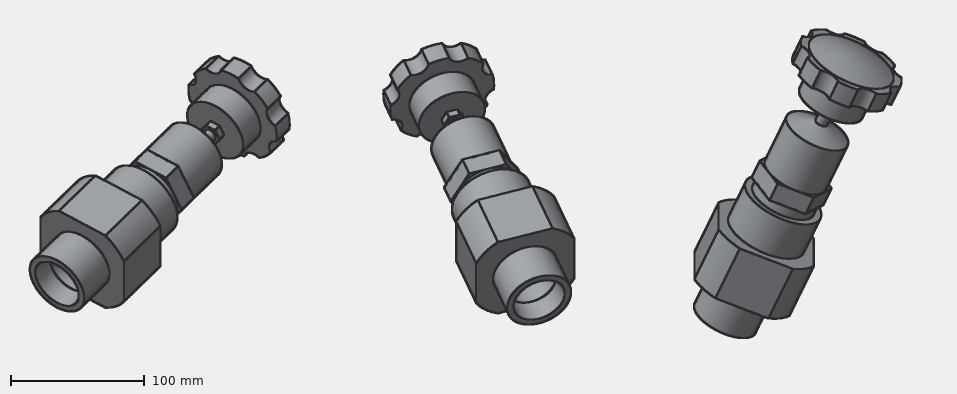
import cadquery as cq
import math

TOTAL_LENGTH = 244.2

PIPE_RADIUS = 25.5
PIPE_LENGTH = 31.7
BLOCK_WIDTH = 77.7
BLOCK_CORNER_RADIUS = 44.5
BLOCK_LENGTH = 46.0
COLLAR_RADIUS = 31.3
COLLAR_LENGTH = 31.7
SOCKET_MOUTH_RADIUS = 20.3
SOCKET_END_RADIUS = 19.3
SOCKET_DEPTH = 17.3
BORE_RADIUS = 19.0
BORE_DEPTH = PIPE_LENGTH + BLOCK_LENGTH
DRILL_TIP_ANGLE = 118.0

BONNET_RADIUS = PIPE_RADIUS
BONNET_LENGTH = 64.0
BONNET_CONE_LENGTH = 7.5
BONNET_HEX_ACROSS_FLATS = 2 * BONNET_RADIUS
BONNET_HEX_OFFSET = 8.0
BONNET_HEX_LENGTH = 15.5

STEM_RADIUS = 5.0
STEM_LENGTH = 12.2
NUT_ACROSS_FLATS = 14.7
NUT_LENGTH = 5.9
HUB_RADIUS = 26.1
HUB_LENGTH = 22.0
RIM_RADIUS = 82.3 / 2
RIM_LENGTH = 16.4
DOME_RADIUS = 34.7
SCALLOP_COUNT = 8
SCALLOP_RADIUS = 9.8
SCALLOP_HALF_ANGLE = 11.0
FIRST_SCALLOP_ANGLE = 71.3

block_start = PIPE_LENGTH
collar_start = block_start + BLOCK_LENGTH
bonnet_start = collar_start + COLLAR_LENGTH
bonnet_cone_start = bonnet_start + BONNET_LENGTH
stem_start = bonnet_cone_start + BONNET_CONE_LENGTH
nut_start = stem_start + STEM_LENGTH
hub_start = nut_start + NUT_LENGTH
rim_start = hub_start + HUB_LENGTH
dome_start = rim_start + RIM_LENGTH


def section_plane(y):
    """Plane across the axis at y; its normal is +Y, local x is +X and local y is -Z."""
    return cq.Workplane("XZ", origin=(0, y, 0)).transformed(rotate=(180, 0, 0))


def cylinder(y, radius, length):
    return section_plane(y).circle(radius).extrude(length)


def hexagon(y, across_flats, length):
    """Hexagonal prism with two of its corners on the X axis."""
    corner_diameter = across_flats / math.cos(math.radians(30))
    return section_plane(y).polygon(6, corner_diameter).extrude(length)


def revolve_about_axis(profile):
    return profile.close().revolve(360, (0, 0, 0), (0, 1, 0))


def make_bore():
    """Shallow tapered socket and a narrower bore that ends in a conical drill tip."""
    tip_depth = BORE_RADIUS / math.tan(math.radians(DRILL_TIP_ANGLE / 2))
    profile = (
        cq.Workplane("XY")
        .lineTo(SOCKET_MOUTH_RADIUS, 0)
        .lineTo(SOCKET_END_RADIUS, SOCKET_DEPTH)
        .lineTo(BORE_RADIUS, SOCKET_DEPTH)
        .lineTo(BORE_RADIUS, BORE_DEPTH)
        .lineTo(0, BORE_DEPTH + tip_depth)
    )
    return revolve_about_axis(profile)


def make_valve_body():
    block = section_plane(block_start).rect(BLOCK_WIDTH, BLOCK_WIDTH).extrude(BLOCK_LENGTH)
    block = block.intersect(cylinder(block_start, BLOCK_CORNER_RADIUS, BLOCK_LENGTH))
    pipe = cylinder(0, PIPE_RADIUS, PIPE_LENGTH)
    collar = cylinder(collar_start, COLLAR_RADIUS, COLLAR_LENGTH)
    return pipe.union(block).union(collar).cut(make_bore())


def make_bonnet():
    profile = (
        cq.Workplane("XY")
        .moveTo(0, bonnet_start)
        .lineTo(BONNET_RADIUS, bonnet_start)
        .lineTo(BONNET_RADIUS, bonnet_cone_start)
        .lineTo(STEM_RADIUS, stem_start)
        .lineTo(0, stem_start)
    )
    barrel = revolve_about_axis(profile)
    hex_start = bonnet_start + BONNET_HEX_OFFSET
    return barrel.union(hexagon(hex_start, BONNET_HEX_ACROSS_FLATS, BONNET_HEX_LENGTH))


def make_dome():
    """Spherical cap that closes the top of the handwheel."""
    height = TOTAL_LENGTH - dome_start
    sphere_radius = (DOME_RADIUS**2 + height**2) / (2 * height)
    half_angle = math.asin(DOME_RADIUS / sphere_radius) / 2
    arc_middle = (
        sphere_radius * math.sin(half_angle),
        TOTAL_LENGTH - sphere_radius * (1 - math.cos(half_angle)),
    )
    profile = (
        cq.Workplane("XY")
        .moveTo(0, dome_start)
        .lineTo(DOME_RADIUS, dome_start)
        .threePointArc(arc_middle, (0, TOTAL_LENGTH))
    )
    return revolve_about_axis(profile)


def make_rim():
    """Grip disc with round scallops spaced evenly about its edge."""
    rim = cylinder(rim_start, RIM_RADIUS, RIM_LENGTH)
    half_angle = math.radians(SCALLOP_HALF_ANGLE)
    half_chord = RIM_RADIUS * math.sin(half_angle)
    centre_distance = RIM_RADIUS * math.cos(half_angle) + math.sqrt(SCALLOP_RADIUS**2 - half_chord**2)
    for index in range(SCALLOP_COUNT):
        angle = math.radians(FIRST_SCALLOP_ANGLE + index * 360 / SCALLOP_COUNT)
        offset = (centre_distance * math.cos(angle), 0, centre_distance * math.sin(angle))
        rim = rim.cut(cylinder(rim_start, SCALLOP_RADIUS, RIM_LENGTH).translate(offset))
    return rim


def make_handwheel():
    stem = cylinder(stem_start, STEM_RADIUS, STEM_LENGTH)
    nut = hexagon(nut_start, NUT_ACROSS_FLATS, NUT_LENGTH)
    hub = cylinder(hub_start, HUB_RADIUS, HUB_LENGTH)
    return stem.union(nut).union(hub).union(make_rim()).union(make_dome())


valve_body = make_valve_body()
bonnet = make_bonnet()
handwheel = make_handwheel()

result = cq.Compound.makeCompound([valve_body.val(), bonnet.val(), handwheel.val()])